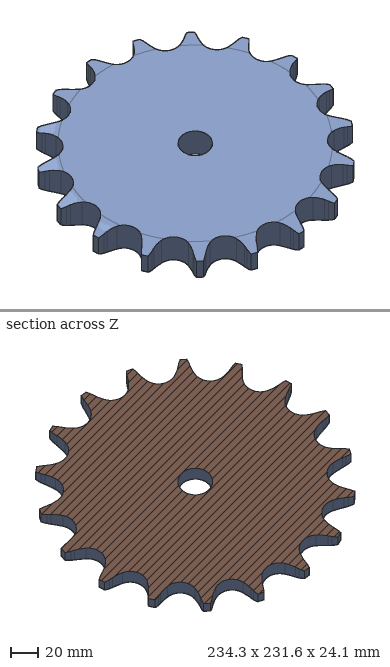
import cadquery as cq
import math

TOOTH_COUNT = 18
PITCH = 38.1
ROLLER_DIAMETER = 25.4
PLATE_THICKNESS = 24.1
OUTER_DIAMETER = 234.3
BORE_DIAMETER = 25.0

SEAT_CLEARANCE = 0.0381
SEAT_FACTOR = 0.5025
WORKING_CENTER_FACTOR = 0.8
TOPPING_CENTER_FACTOR = 1.4
SEAT_ANGLE = math.radians(35 + 60 / TOOTH_COUNT)
WORKING_ANGLE = math.radians(18 - 56 / TOOTH_COUNT)
TOPPING_ANGLE = math.radians(17 - 64 / TOOTH_COUNT)

THEORETICAL_OUTER_DIAMETER = PITCH * (0.6 + 1 / math.tan(math.pi / TOOTH_COUNT))
BEVEL_START_RADIUS = THEORETICAL_OUTER_DIAMETER / 2 - 0.5 * PITCH
BEVEL_ARC_RADIUS = 1.063 * PITCH

half_pitch_angle = math.pi / TOOTH_COUNT
pitch_radius = PITCH / (2 * math.sin(half_pitch_angle))
outer_radius = OUTER_DIAMETER / 2
half_thickness = PLATE_THICKNESS / 2
seat_radius = SEAT_FACTOR * ROLLER_DIAMETER + SEAT_CLEARANCE
working_center_distance = WORKING_CENTER_FACTOR * ROLLER_DIAMETER
topping_center_distance = TOPPING_CENTER_FACTOR * ROLLER_DIAMETER
working_radius = working_center_distance + seat_radius
straight_length = (
    topping_center_distance * math.sin(TOPPING_ANGLE)
    - working_center_distance * math.sin(WORKING_ANGLE)
)
topping_radius = (
    working_center_distance * math.cos(WORKING_ANGLE)
    + topping_center_distance * math.cos(TOPPING_ANGLE)
    - working_radius
)


def polar(center, radius, angle):
    """Point at a distance and direction from a center."""
    return (center[0] + radius * math.cos(angle), center[1] + radius * math.sin(angle))


def mirrored(point):
    """Point reflected to the other side of the gap's center line."""
    return (-point[0], point[1])


def circle_crossing_angle(center, radius):
    """Upper direction from center in which its circle meets the outer circle."""
    distance = math.hypot(*center)
    toward_center = math.atan2(center[1], center[0])
    cosine = (outer_radius**2 - radius**2 - distance**2) / (2 * radius * distance)
    return toward_center + math.acos(cosine)


def make_tooth_gap():
    """Cutter for one gap between teeth, centered on the +Y axis."""
    roller_center = (0, pitch_radius)
    working_center = polar(roller_center, working_center_distance, math.pi - SEAT_ANGLE)
    topping_center = polar(roller_center, topping_center_distance, -half_pitch_angle)

    flank_normal = WORKING_ANGLE - SEAT_ANGLE
    seat_end = polar(roller_center, seat_radius, -SEAT_ANGLE)
    working_middle = polar(working_center, working_radius, WORKING_ANGLE / 2 - SEAT_ANGLE)
    working_end = polar(working_center, working_radius, flank_normal)
    straight_end = polar(working_end, straight_length, flank_normal + math.pi / 2)

    topping_start_angle = flank_normal + math.pi
    tip_angle = circle_crossing_angle(topping_center, topping_radius)
    topping_middle = polar(topping_center, topping_radius, (topping_start_angle + tip_angle) / 2)
    tip = polar(topping_center, topping_radius, tip_angle)

    mouth = (tip[0], outer_radius + ROLLER_DIAMETER)

    return (
        cq.Workplane("XY")
        .workplane(offset=-PLATE_THICKNESS)
        .moveTo(*mirrored(seat_end))
        .threePointArc((0, pitch_radius - seat_radius), seat_end)
        .threePointArc(working_middle, working_end)
        .lineTo(*straight_end)
        .threePointArc(topping_middle, tip)
        .lineTo(*mouth)
        .lineTo(*mirrored(mouth))
        .lineTo(*mirrored(tip))
        .threePointArc(mirrored(topping_middle), mirrored(straight_end))
        .lineTo(*mirrored(working_end))
        .threePointArc(mirrored(working_middle), mirrored(seat_end))
        .close()
        .extrude(2 * PLATE_THICKNESS)
    )


def make_blank():
    """Disc whose rims curve down to the outer edge, tangent to the flat faces."""
    bevel_width = outer_radius - BEVEL_START_RADIUS
    bevel_center_z = half_thickness - BEVEL_ARC_RADIUS

    def bevel_height(width):
        return bevel_center_z + math.sqrt(BEVEL_ARC_RADIUS**2 - width**2)

    middle = (BEVEL_START_RADIUS + bevel_width / 2, bevel_height(bevel_width / 2))
    edge = (outer_radius, bevel_height(bevel_width))
    return (
        cq.Workplane("XZ")
        .moveTo(0, -half_thickness)
        .lineTo(BEVEL_START_RADIUS, -half_thickness)
        .threePointArc((middle[0], -middle[1]), (edge[0], -edge[1]))
        .lineTo(*edge)
        .threePointArc(middle, (BEVEL_START_RADIUS, half_thickness))
        .lineTo(0, half_thickness)
        .close()
        .revolve(360, (0, 0, 0), (0, 1, 0))
    )


def make_sprocket():
    """Blank with the tooth gaps and the central bore cut through."""
    sprocket = make_blank()
    gap = make_tooth_gap()
    for index in range(TOOTH_COUNT):
        sprocket = sprocket.cut(gap.rotate((0, 0, 0), (0, 0, 1), index * 360 / TOOTH_COUNT))
    return sprocket.faces(">Z").workplane(origin=(0, 0, 0)).hole(BORE_DIAMETER)


result = make_sprocket()